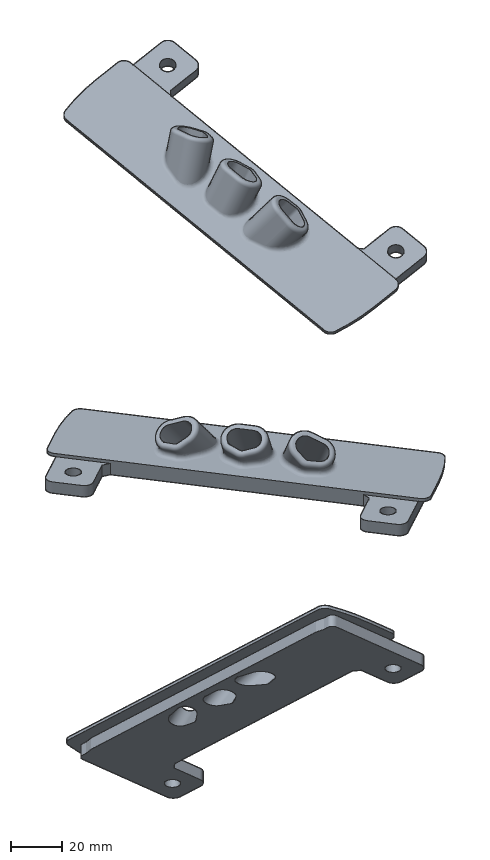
import cadquery as cq
import math

base_height = 5.1
base_half_width = 72.7
base_front = 5.4
corner_front = 6.2
corner_radius = 4.8 / 2
step_outer_x = 68.0
step_inner_x = 64.4

tab_width = 19.1
tab_back = 56.8
tab_radius = 3.7
gusset_width = 2.8
gusset_depth = 2.2
screw_hole_diameter = 6.3
screw_hole_from_back = 9.5

plate_half_width = 77.0
plate_depth = 37.1
plate_thickness = 1.4
plate_radius = 3.7
side_curve_start = 21.4
side_curve_radius = 80.1
plate_top = base_height + plate_thickness

bore_width = 13.7
bore_flat_width = 5.9
bore_ridge_radius = 1.7
tube_wall = 2.6
ridge_slope = 23.0
tube_length = 12.8
tube_lean_back = 35.0
tube_lean_side = 22.5
tube_spacing = 23.4
tube_pivot_y = 18.3
tube_root = 21.5
rim_radius = 1.5
foot_radius = 1.8


def mirrored(points):
    """Complete a left-hand outline with its mirror image about X = 0."""
    return points + [(-x, y) for x, y in reversed(points)]


def make_base():
    tab_inner_x = base_half_width - tab_width
    left_half = [
        (-step_inner_x, base_front),
        (-step_outer_x, corner_front),
        (-base_half_width, corner_front),
        (-base_half_width, tab_back),
        (-tab_inner_x, tab_back),
        (-tab_inner_x, plate_depth + gusset_depth),
        (-tab_inner_x + gusset_width, plate_depth),
    ]
    base = cq.Workplane("XY").polyline(mirrored(left_half)).close().extrude(base_height)

    margin = 0.2
    tab_zone = cq.selectors.BoxSelector(
        (-plate_half_width, tab_back - margin, 0),
        (plate_half_width, tab_back + margin, base_height),
    )
    base = base.edges("|Z").edges(tab_zone).fillet(tab_radius)
    for side in (-1, 1):
        corner = (side * base_half_width, corner_front, base_height / 2)
        base = base.edges(cq.selectors.NearestToPointSelector(corner)).fillet(corner_radius)

    hole_x = base_half_width - tab_width / 2
    hole_y = tab_back - screw_hole_from_back
    holes = (
        cq.Workplane("XY")
        .pushPoints([(-hole_x, hole_y), (hole_x, hole_y)])
        .circle(screw_hole_diameter / 2)
        .extrude(base_height)
    )
    return base.cut(holes)


def make_plate():
    def side_x(y):
        drop = side_curve_start - y
        return plate_half_width - side_curve_radius + math.sqrt(side_curve_radius**2 - drop**2)

    middle_y = side_curve_start / 2
    return (
        cq.Workplane("XY", origin=(0, 0, base_height))
        .moveTo(-side_x(0), 0)
        .lineTo(side_x(0), 0)
        .threePointArc((side_x(middle_y), middle_y), (plate_half_width, side_curve_start))
        .lineTo(plate_half_width, plate_depth)
        .lineTo(-plate_half_width, plate_depth)
        .lineTo(-plate_half_width, side_curve_start)
        .threePointArc((-side_x(middle_y), middle_y), (-side_x(0), 0))
        .close()
        .extrude(plate_thickness)
        .edges("|Z and (<Y or >Y)")
        .fillet(plate_radius)
    )


def teardrop(plane, offset):
    """Bore section grown outward by offset; local +Y points toward the ridge."""
    slope = math.radians(ridge_slope)
    flat = bore_flat_width / 2
    arc = (bore_width - bore_flat_width) / 2 + offset
    ridge = bore_ridge_radius + offset

    roof_x = flat + arc * math.sin(slope)
    roof_y = arc * math.cos(slope)
    ridge_x = ridge * math.sin(slope)
    ridge_y = roof_y + (roof_x - ridge_x) * math.tan(slope)
    ridge_top = ridge_y + ridge * (1 - math.cos(slope))

    return (
        cq.Workplane(plane)
        .moveTo(-flat, -arc)
        .lineTo(flat, -arc)
        .tangentArcPoint((roof_x, roof_y), relative=False)
        .lineTo(ridge_x, ridge_y)
        .threePointArc((0, ridge_top), (-ridge_x, ridge_y))
        .lineTo(-roof_x, roof_y)
        .tangentArcPoint((-flat, -arc), relative=False)
        .close()
    )


def tube_plane(side):
    """Mouth plane of a tube; side is -1, 0 or 1 for left, centre or right."""
    back = math.radians(tube_lean_back)
    lean = math.radians(side * tube_lean_side)
    axis = cq.Vector(
        math.cos(back) * math.sin(lean),
        math.sin(back),
        math.cos(back) * math.cos(lean),
    )
    across = cq.Vector(math.cos(lean), 0, -math.sin(lean))
    pivot = cq.Vector(side * tube_spacing, tube_pivot_y, plate_top)
    return cq.Plane(origin=pivot + axis * tube_length, xDir=across, normal=axis)


def add_tube(plate, plane):
    """Stand a closed tube on the plate, with a filleted foot and rim."""
    above_base = (
        cq.Workplane("XY", origin=(0, 0, base_height))
        .rect(2 * plate_half_width, 2 * plate_half_width)
        .extrude(tube_root)
    )
    tube = teardrop(plane, tube_wall).extrude(-tube_length - tube_root)
    body = plate.union(tube.intersect(above_base))

    margin = 0.08
    foot_zone = cq.selectors.BoxSelector(
        (-plate_half_width + margin, margin, plate_top - margin),
        (plate_half_width - margin, plate_depth - margin, plate_top + margin),
        boundingbox=True,
    )
    mouth = cq.selectors.NearestToPointSelector(plane.origin)
    return body.edges(foot_zone).fillet(foot_radius).faces(mouth).edges().fillet(rim_radius)


def make_bore(plane):
    return teardrop(plane, 0).extrude(-tube_length - tube_root)


plate = make_plate()
centre_plane = tube_plane(0)
right_plane = tube_plane(1)
centre_tube = add_tube(plate, centre_plane)
right_tube = add_tube(plate, right_plane)
right_bore = make_bore(right_plane)

result = (
    make_base()
    .union(centre_tube)
    .union(right_tube)
    .union(right_tube.mirror("YZ"))
    .cut(make_bore(centre_plane))
    .cut(right_bore)
    .cut(right_bore.mirror("YZ"))
)